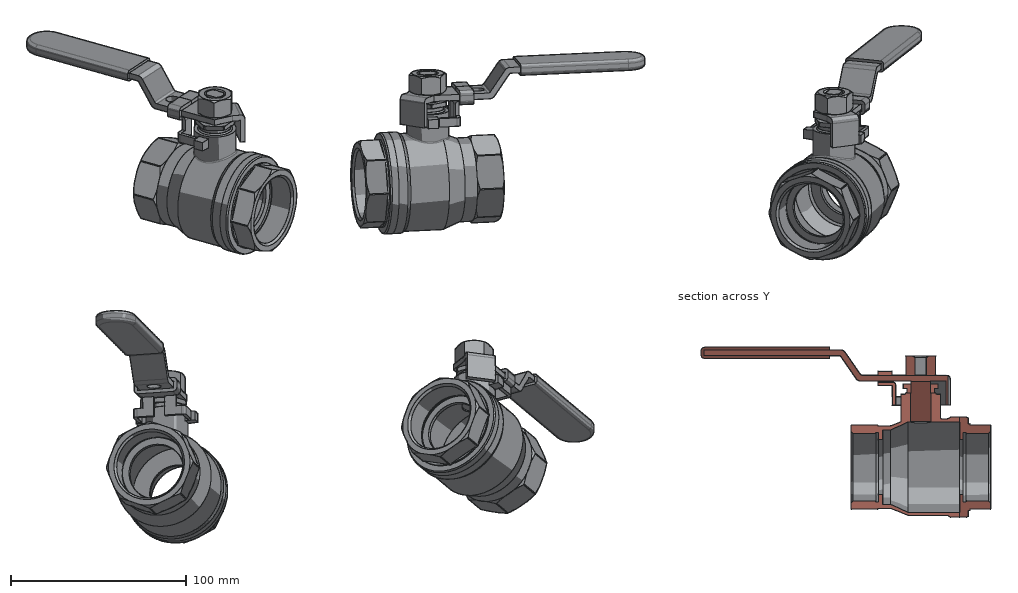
import cadquery as cq
import math


left_end_x = -39.8
left_hex_end_x = -24.2
taper_start_x = -17.1
taper_end_x = -7.1
flange_start_x = 16.1
joint_x = 22.2
flange_end_x = 27.2
right_hex_start_x = 28.2
right_end_x = 40.0

end_flats = 47.5
end_corner_dia = 51.1
end_face_dia = 48.0
end_chamfer = 1.2
waist_dia = 48.0
barrel_dia = 56.0
flange_dia = 58.0
flange_chamfer_x = 1.0
flange_chamfer_r = 0.5
flange_root_length = 0.8
collar_dia = 50.3
bore_dia = 32.0
port_dia = 39.0
port_mouth_dia = 41.5
port_chamfer = 1.3
port_depth = 15.8
port_relief_dia = 40.0
port_relief_width = 1.5
cavity_start_x = -21.5
cavity_start_dia = 43.0
cavity_dia = 52.0

neck_dia = 24.0
neck_top_z = 41.7
neck_lip_dia = 20.0
neck_lip_top_dia = 18.5
neck_lip_height = 0.8
neck_root_fillet = 0.7
stop_width = 6.6
stop_height = 6.0
stop_bottom_z = 34.5
stop_root_y = 10.0
stop_tip_y = 17.5
stop_draft_angle = 3

stem_dia = 14.0
stem_top_dia = 10.1
stem_flats = 8.0
gland_dia = 18.0
gland_hex_flats = 20.0
gland_hex_bottom_z = 44.8
gland_hex_top_z = 47.5
gland_hex_corner_dia = 22.5
gland_hex_chamfer = 0.5
nut_flats = 19.0
nut_height = 11.0
nut_face_dia = 18.5
nut_hole_mouth_dia = 12.1
hex_chamfer_angle = 30

lever_thickness = 3.5
lever_width = 20.1
lever_bottom_z = 49.0
lever_rise = 14.5
lower_bend_x = -34.0
upper_bend_x = -44.0
outer_bend_radius = 3.7
upper_inner_radius = 0.7
lower_inner_radius = 1.8
nose_cut_x = 6.3
lever_hole_dia = 8.0
lever_hole_x = -28.7
tab_angle = 45
tab_width = 16.6
tab_reach = 15.8
tab_thickness = 2.8
tab_bottom_z = 35.4
grip_length = 74.0
grip_width = 23.0
grip_height = 6.6
grip_fillet = 2.0
grip_left_x = -126.0

clip_start_x = -24.4
clip_end_x = -16.3
clip_width = 25.2
clip_bottom_z = 46.5
clip_top_z = 54.8
clip_sheet = 2.0
clip_corner_radius = 2.5
clip_slit = 0.2
clip_offset_y = 0.3
clip_leg_thickness = 2.2
clip_leg_width = 19.6
clip_leg_gap = 6.5
clip_arm_span = 31.2
clip_arm_end_x = -3.8
clip_arm_bottom_z = 35.2
clip_arm_top_z = 40.2

stem_bottom_z = cavity_dia / 2
gland_bottom_z = neck_top_z + neck_lip_height
lever_top_z = lever_bottom_z + lever_thickness
nut_top_z = lever_top_z + nut_height
grip_lever_z = lever_bottom_z + lever_rise
grip_end_center_x = grip_left_x + grip_width / 2


def cylinder_x(diameter, start_x, end_x):
    """Solid cylinder on the flow axis."""
    return cq.Workplane("YZ", origin=(start_x, 0, 0)).circle(diameter / 2).extrude(end_x - start_x)


def cylinder_z(diameter, bottom_z, top_z):
    """Solid cylinder on the stem axis."""
    return cq.Workplane("XY", origin=(0, 0, bottom_z)).circle(diameter / 2).extrude(top_z - bottom_z)


def revolve_x(points):
    """Solid of revolution on the flow axis from (x, radius) points."""
    return cq.Workplane("XY").polyline(points).close().revolve(360, (0, 0, 0), (1, 0, 0))


def prism(flats, sides, bottom, height, plane, turn=0.0):
    """Regular prism with the given width across flats, one corner turned from the plane's local X."""
    corner_dia = flats / math.cos(math.pi / sides)
    origin = (bottom, 0, 0) if plane == "YZ" else (0, 0, bottom)
    work = cq.Workplane(plane, origin=origin).transformed(rotate=(0, 0, turn))
    return work.polygon(sides, corner_dia).extrude(height)


def turned_blank_z(corner_dia, face_dia, chamfer, bottom_z, top_z):
    """Cylinder on the stem axis with conical ends, used to chamfer the corners of a prism."""
    outline = [
        (0, bottom_z),
        (face_dia / 2, bottom_z),
        (corner_dia / 2, bottom_z + chamfer),
        (corner_dia / 2, top_z - chamfer),
        (face_dia / 2, top_z),
        (0, top_z),
    ]
    return cq.Workplane("XZ").polyline(outline).close().revolve(360, (0, 0, 0), (0, 1, 0))


def end_octagon(start_x, end_x, chamfer_start, chamfer_end):
    """Wrench octagon with corners turned round, and cones at the chosen ends."""
    face_r = end_face_dia / 2
    corner_r = end_corner_dia / 2
    outline = [(start_x, 0)]
    if chamfer_start:
        outline += [(start_x, face_r), (start_x + end_chamfer, corner_r)]
    else:
        outline += [(start_x, corner_r)]
    if chamfer_end:
        outline += [(end_x - end_chamfer, corner_r), (end_x, face_r)]
    else:
        outline += [(end_x, corner_r)]
    outline += [(end_x, 0)]
    octagon = prism(end_flats, 8, start_x, end_x - start_x, "YZ")
    return octagon.intersect(revolve_x(outline))


def port_cut(face_x, inward):
    """Chamfered port opening at face_x with a thread relief at its floor; inward is +1 or -1 along X."""
    relief_x = face_x + inward * (port_depth - port_relief_width)
    return revolve_x(
        [
            (face_x, 0),
            (face_x, port_mouth_dia / 2),
            (face_x + inward * port_chamfer, port_dia / 2),
            (relief_x, port_dia / 2),
            (relief_x, port_relief_dia / 2),
            (face_x + inward * port_depth, port_relief_dia / 2),
            (face_x + inward * port_depth, 0),
        ]
    )


def neck_lip():
    """Low conical lip on top of the neck, under the gland."""
    return (
        cq.Workplane("XY", origin=(0, 0, neck_top_z))
        .circle(neck_lip_dia / 2)
        .workplane(offset=neck_lip_height)
        .circle(neck_lip_top_dia / 2)
        .loft()
    )


def stop_lug(side):
    """Travel stop on the neck, pointing along side * Y and slightly drafted."""
    lug = (
        cq.Workplane("XZ", origin=(0, -stop_root_y, stop_bottom_z + stop_height / 2))
        .rect(stop_width, stop_height)
        .extrude(stop_tip_y - stop_root_y, taper=stop_draft_angle)
    )
    return lug if side < 0 else lug.mirror("XZ")


def ball_cavity():
    """Space inside the valve body that follows its outer shape."""
    return revolve_x(
        [
            (cavity_start_x, 0),
            (cavity_start_x, cavity_start_dia / 2),
            (taper_start_x, cavity_start_dia / 2),
            (taper_end_x, cavity_dia / 2),
            (joint_x, cavity_dia / 2),
            (joint_x, 0),
        ]
    )


def make_housing():
    barrel_r = barrel_dia / 2
    flange_r = flange_dia / 2
    shell = revolve_x(
        [
            (left_hex_end_x, 0),
            (left_hex_end_x, waist_dia / 2),
            (taper_start_x, waist_dia / 2),
            (taper_end_x, barrel_r),
            (flange_start_x - flange_root_length, barrel_r),
            (flange_start_x, flange_r - flange_chamfer_r),
            (flange_start_x + flange_chamfer_x, flange_r),
            (joint_x, flange_r),
            (joint_x, 0),
        ]
    )
    shell = shell.union(cylinder_z(neck_dia, 0, neck_top_z))
    root_zone = cq.selectors.BoxSelector(
        (-neck_dia, -neck_dia, cavity_start_dia / 2),
        (neck_dia, neck_dia, barrel_dia / 2),
    )
    shell = shell.edges(root_zone).fillet(neck_root_fillet)
    shell = shell.union(end_octagon(left_end_x, left_hex_end_x, True, True))
    for side in (-1, 1):
        shell = shell.union(stop_lug(side))
    shell = shell.union(neck_lip())
    shell = shell.cut(cylinder_x(bore_dia, left_end_x, joint_x))
    shell = shell.cut(port_cut(left_end_x, 1))
    shell = shell.cut(ball_cavity())
    return shell.cut(cylinder_z(stem_dia, 0, gland_bottom_z))


def make_end_cap():
    flange_r = flange_dia / 2
    cap = revolve_x(
        [
            (joint_x, 0),
            (joint_x, flange_r),
            (flange_end_x - flange_chamfer_x, flange_r),
            (flange_end_x, flange_r - flange_chamfer_r),
            (flange_end_x, 0),
        ]
    )
    cap = cap.union(cylinder_x(collar_dia, flange_end_x, right_hex_start_x))
    cap = cap.union(end_octagon(flange_end_x, right_end_x, False, True))
    cap = cap.cut(cylinder_x(bore_dia, joint_x, right_end_x))
    return cap.cut(port_cut(right_end_x, -1))


def stem_top(bottom_z, top_z):
    """Upper stem section: a cylinder with two flats facing +Y and -Y."""
    slab = cq.Workplane("XY", origin=(0, 0, bottom_z)).rect(stem_top_dia, stem_flats)
    return cylinder_z(stem_top_dia, bottom_z, top_z).intersect(slab.extrude(top_z - bottom_z))


def make_stem():
    return cylinder_z(stem_dia, stem_bottom_z, lever_bottom_z).union(stem_top(lever_bottom_z, nut_top_z))


def make_gland():
    gland = cylinder_z(gland_dia, gland_bottom_z, gland_hex_top_z)
    hex_height = gland_hex_top_z - gland_hex_bottom_z
    hexagon = prism(gland_hex_flats, 6, gland_hex_bottom_z, hex_height, "XY", turn=30)
    blank = turned_blank_z(
        gland_hex_corner_dia,
        gland_hex_corner_dia - 2 * gland_hex_chamfer,
        gland_hex_chamfer,
        gland_hex_bottom_z,
        gland_hex_top_z,
    )
    return gland.union(hexagon.intersect(blank)).cut(cylinder_z(stem_dia, gland_bottom_z, gland_hex_top_z))


def make_nut():
    corner_dia = nut_flats / math.cos(math.pi / 6)
    chamfer = (corner_dia - nut_face_dia) / 2 * math.tan(math.radians(hex_chamfer_angle))
    nut = prism(nut_flats, 6, lever_top_z, nut_height, "XY")
    nut = nut.intersect(turned_blank_z(corner_dia, nut_face_dia, chamfer, lever_top_z, nut_top_z))
    nut = nut.cut(cylinder_z(stem_top_dia, lever_top_z, nut_top_z))
    mouth_chamfer = (nut_hole_mouth_dia - stem_top_dia) / 2
    return nut.edges("%CIRCLE and >Z").edges(cq.selectors.RadiusNthSelector(0)).chamfer(mouth_chamfer)


def grip_outline(width, right_x, bottom_z, height):
    """Bar along X whose left end is a half circle about the grip's end centre."""
    half = width / 2
    return (
        cq.Workplane("XY", origin=(0, 0, bottom_z))
        .moveTo(right_x, -half)
        .lineTo(grip_end_center_x, -half)
        .threePointArc((grip_end_center_x - half, 0), (grip_end_center_x, half))
        .lineTo(right_x, half)
        .close()
        .extrude(height)
    )


def lever_nose():
    """Flat front end of the lever, with one corner cut off up to the side of the stop tab."""
    tab_side_x = tab_width / 2 / math.sin(math.radians(tab_angle))
    half = lever_width / 2
    return (
        cq.Workplane("XY", origin=(0, 0, lever_bottom_z))
        .polyline([(0, -half), (nose_cut_x, -half), (tab_side_x, 0), (0, half)])
        .close()
        .extrude(lever_thickness)
    )


def lever_tab():
    """Stop tab that leaves the nose at an angle in plan and bends down."""
    tab = (
        cq.Workplane("XZ", origin=(0, tab_width / 2, 0))
        .moveTo(0, lever_top_z)
        .lineTo(tab_reach, lever_top_z)
        .lineTo(tab_reach, tab_bottom_z)
        .lineTo(tab_reach - tab_thickness, tab_bottom_z)
        .lineTo(tab_reach - tab_thickness, lever_bottom_z)
        .lineTo(0, lever_bottom_z)
        .close()
        .extrude(tab_width)
    )
    tab = tab.edges("|Y and >X and >Z").fillet(tab_thickness)
    return tab.rotate((0, 0, 0), (0, 0, 1), tab_angle)


def make_lever():
    slope = math.atan2(lever_rise, lower_bend_x - upper_bend_x)
    miter = lever_thickness * math.tan(slope / 2)
    upper_top_z = lever_top_z + lever_rise
    bar = (
        cq.Workplane("XZ", origin=(0, lever_width / 2, 0))
        .moveTo(0, lever_top_z)
        .lineTo(lower_bend_x, lever_top_z)
        .lineTo(upper_bend_x, upper_top_z)
        .lineTo(grip_end_center_x, upper_top_z)
        .lineTo(grip_end_center_x, grip_lever_z)
        .lineTo(upper_bend_x - miter, grip_lever_z)
        .lineTo(lower_bend_x - miter, lever_bottom_z)
        .lineTo(0, lever_bottom_z)
        .close()
        .extrude(lever_width)
    )
    bends = [
        ((upper_bend_x, 0, upper_top_z), outer_bend_radius),
        ((upper_bend_x - miter, 0, grip_lever_z), upper_inner_radius),
        ((lower_bend_x, 0, lever_top_z), lower_inner_radius),
        ((lower_bend_x - miter, 0, lever_bottom_z), outer_bend_radius),
    ]
    for point, radius in bends:
        bar = bar.edges(cq.selectors.NearestToPointSelector(point)).fillet(radius)
    end_x = grip_end_center_x + grip_length / 2
    lever = bar.union(grip_outline(lever_width, end_x, grip_lever_z, lever_thickness))
    lever = lever.union(lever_nose()).union(lever_tab())
    hole = cq.Workplane("XY", origin=(lever_hole_x, 0, lever_bottom_z)).circle(lever_hole_dia / 2)
    lever = lever.cut(hole.extrude(lever_thickness))
    return lever.cut(stem_top(lever_bottom_z, lever_top_z))


def make_grip():
    right_x = grip_left_x + grip_length
    bottom_z = grip_lever_z + lever_thickness / 2 - grip_height / 2
    grip = grip_outline(grip_width, right_x, bottom_z, grip_height)
    grip = grip.faces("|Z").edges("not >X").fillet(grip_fillet)
    return grip.cut(grip_outline(lever_width, right_x, grip_lever_z, lever_thickness))


def make_lock_clip():
    length = clip_end_x - clip_start_x
    height = clip_top_z - clip_bottom_z
    mid_z = clip_bottom_z + height / 2
    sleeve = (
        cq.Workplane("YZ", origin=(clip_start_x, 0, mid_z))
        .rect(clip_width, height)
        .extrude(length)
        .edges("|X")
        .fillet(clip_corner_radius)
    )
    opening = (
        cq.Workplane("YZ", origin=(clip_start_x, 0, 0))
        .moveTo(-clip_width / 2 + clip_sheet, clip_bottom_z + clip_sheet)
        .lineTo(clip_width / 2 - clip_sheet, clip_bottom_z + clip_sheet)
        .lineTo(clip_width / 2 - clip_sheet, lever_top_z)
        .lineTo(-clip_width / 2 + clip_sheet, lever_top_z)
        .close()
        .extrude(length)
    )
    slit = cq.Workplane("YZ", origin=(clip_start_x, 0, clip_top_z)).rect(clip_slit, height).extrude(length)
    sleeve = sleeve.cut(opening).cut(slit)

    leg_end_x = clip_end_x + clip_leg_thickness
    legs = (
        cq.Workplane("XY", origin=(clip_end_x + clip_leg_thickness / 2, 0, clip_arm_bottom_z))
        .rect(clip_leg_thickness, clip_leg_width)
        .extrude(clip_bottom_z + clip_sheet - clip_arm_bottom_z)
        .edges("|Y and >X and >Z")
        .fillet(clip_sheet)
    )

    arm_height = clip_arm_top_z - clip_arm_bottom_z
    arm_length = clip_arm_end_x - clip_end_x
    arms = (
        cq.Workplane("XY", origin=(clip_end_x + arm_length / 2, 0, clip_arm_bottom_z))
        .rect(arm_length, clip_arm_span)
        .extrude(arm_height)
        .edges("|Z and <X")
        .fillet(clip_corner_radius)
    )
    inside = cq.Workplane("XY", origin=(leg_end_x + arm_length / 2, 0, clip_arm_bottom_z))
    arms = arms.cut(inside.rect(arm_length, clip_arm_span - 2 * clip_leg_thickness).extrude(arm_height))
    gap = (
        cq.Workplane("XY", origin=(clip_end_x + clip_leg_thickness / 2, 0, clip_arm_bottom_z))
        .rect(clip_leg_thickness, clip_leg_gap)
        .extrude(clip_bottom_z - clip_arm_bottom_z)
    )
    return sleeve.union(legs).union(arms).cut(gap).translate((0, clip_offset_y, 0))


housing = make_housing()
end_cap = make_end_cap()
stem = make_stem()
gland = make_gland()
lever = make_lever()
grip = make_grip()
lock_clip = make_lock_clip()
nut = make_nut()

result = cq.Compound.makeCompound(
    [
        housing.val(),
        end_cap.val(),
        stem.val(),
        gland.val(),
        lever.val(),
        grip.val(),
        lock_clip.val(),
        nut.val(),
    ]
)